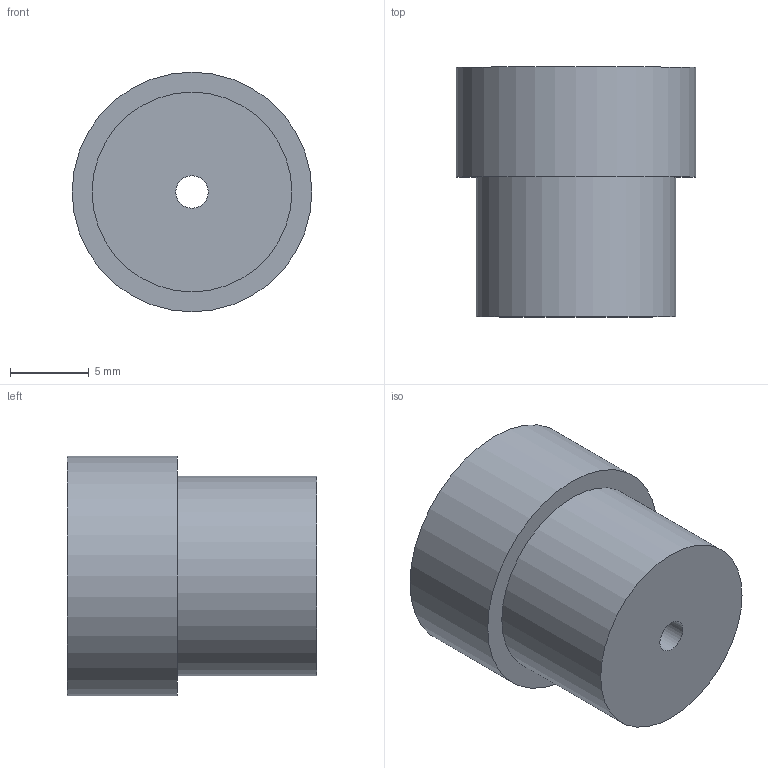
import cadquery as cq

head_diameter = 15.24
shank_diameter = 12.7
bore_diameter = 2.06
overall_length = 15.875
shank_length = 8.89
head_length = overall_length - shank_length


def cylinder_along_y(diameter, start_y, length):
    """Solid cylinder centred on the Y axis, running from start_y toward +Y."""
    plane = cq.Plane(origin=(0, start_y, 0), xDir=(0, 0, 1), normal=(0, 1, 0))
    return cq.Workplane(plane).circle(diameter / 2).extrude(length)


shank = cylinder_along_y(shank_diameter, 0, shank_length)
head = cylinder_along_y(head_diameter, shank_length, head_length)

bore = cylinder_along_y(bore_diameter, 0, overall_length)

result = shank.union(head).cut(bore)